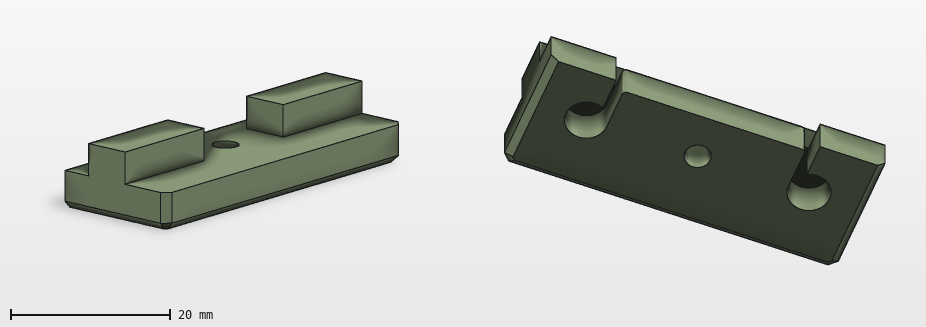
import cadquery as cq

base_width = 17.0
base_length = 45.0
base_height = 5.0
edge_chamfer = 1.0

total_height = 9.2
rail_width = 6.1
rail_length = 15.0
rail_center_x = 7.0
rail_center_y = (base_length - rail_length) / 2

recess_depth = 1.2
center_corner_radius = 0.5

relief_diameter = 5.5
slot_width = 1.5
slot_inner_y = rail_center_y - relief_diameter / 2
slot_outer_y = slot_inner_y + slot_width

screw_hole_diameter = 3.4


def box(x_min, x_max, y_min, y_max, z_min, z_max):
    size = (x_max - x_min, y_max - y_min, z_max - z_min)
    return cq.Workplane("XY").box(*size, centered=False).translate((x_min, y_min, z_min))


def make_base():
    """Plate with cut +X corners and a bevelled underside on every side but the clip side."""
    base = box(0, base_width, -base_length / 2, base_length / 2, 0, base_height)
    base = base.edges("|Z and >X").chamfer(edge_chamfer)
    return base.faces("<Z").edges("not <X").chamfer(edge_chamfer)


def make_rail(side):
    """Rail block on the +Y (side = 1) or -Y (side = -1) end."""
    center = (rail_center_x, side * rail_center_y)
    rail = cq.Workplane("XY").workplane(offset=base_height).center(*center)
    return rail.rect(rail_width, rail_length).extrude(total_height - base_height)


def make_recess():
    """Strip removed from the clip side, leaving the centre section with rounded corners."""
    strip = box(0, rail_center_x, -slot_outer_y, slot_outer_y, 0, base_height)
    center = box(recess_depth, rail_center_x, -slot_inner_y, slot_inner_y, 0, base_height)
    center = center.edges("|Z and <X").fillet(center_corner_radius)
    return strip.cut(center)


def make_relief_hole(side):
    """Round pocket through the plate, closed on top by the rail."""
    hole = cq.Workplane("XY").center(rail_center_x, side * rail_center_y)
    return hole.circle(relief_diameter / 2).extrude(base_height)


def make_screw_hole():
    hole = cq.Workplane("XY").center(rail_center_x, 0)
    return hole.circle(screw_hole_diameter / 2).extrude(base_height)


body = make_base().cut(make_recess()).cut(make_screw_hole())
for side in (-1, 1):
    body = body.cut(make_relief_hole(side)).union(make_rail(side))

result = body